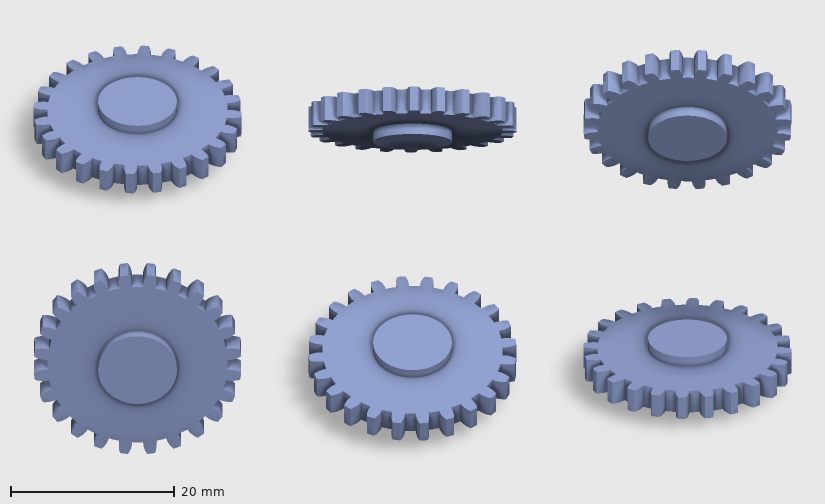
import cadquery as cq
import math

outer_size = 25.4
overall_height = 5.6

tooth_count = 24
root_radius = 11.05
tooth_bulge_radius = 11.68
root_half_width = 0.75
bulge_half_width = 0.79
tip_half_angle = math.radians(2.2)
tooth_pitch = 2 * math.pi / tooth_count

gear_thickness = 3.0
hub_diameter = 9.65

tip_radius = outer_size / 2 / math.cos(tooth_pitch / 2 - tip_half_angle)


def polar_point(radius, angle):
    return (radius * math.cos(angle), radius * math.sin(angle))


def flank_point(radius, half_width, tooth_angle, side):
    """Point on one flank of a tooth; side is -1 before the tooth centre line, +1 after it."""
    return polar_point(radius, tooth_angle + side * math.asin(half_width / radius))


def gear_outline():
    """Closed outline of curved teeth joined by arcs along the root circle."""
    first_tooth_angle = tooth_pitch / 2
    start = flank_point(root_radius, root_half_width, first_tooth_angle, -1)
    outline = cq.Workplane("XY").moveTo(*start)
    for index in range(tooth_count):
        angle = first_tooth_angle + index * tooth_pitch
        next_angle = angle + tooth_pitch
        outline = (
            outline
            .threePointArc(
                flank_point(tooth_bulge_radius, bulge_half_width, angle, -1),
                polar_point(tip_radius, angle - tip_half_angle),
            )
            .threePointArc(
                polar_point(tip_radius, angle),
                polar_point(tip_radius, angle + tip_half_angle),
            )
            .threePointArc(
                flank_point(tooth_bulge_radius, bulge_half_width, angle, 1),
                flank_point(root_radius, root_half_width, angle, 1),
            )
            .threePointArc(
                polar_point(root_radius, angle + tooth_pitch / 2),
                flank_point(root_radius, root_half_width, next_angle, -1),
            )
        )
    return outline.close()


gear = gear_outline().extrude(gear_thickness / 2, both=True)

hub = cq.Workplane("XY").circle(hub_diameter / 2).extrude(overall_height / 2, both=True)

result = gear.union(hub)